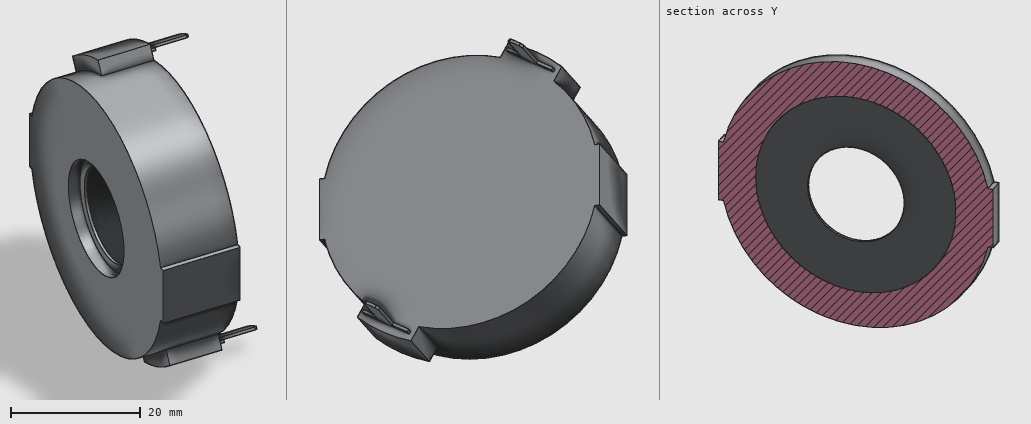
import cadquery as cq
import math

body_diameter = 45.0
body_depth = 13.35

pad_span = 45.5
pad_height = 10.1

lug_outer_radius = 25.0
lug_width = 10.05
lug_depth = 9.0
lug_root_overlap = 2.85
lug_angles = (30, 210)

counterbore_diameter = 18.95
counterbore_depth = 2.0
lip_diameter = 16.0
cone_mouth_diameter = 33.2
cone_floor_diameter = 9.05
lip_thickness = 0.47
pocket_depth = 9.25

total_depth = 21.4
terminal_radius = 23.4
terminal_thickness = 0.47
shoulder_width = 8.45
shoulder_height = 1.0
pin_width = 2.75
pin_chamfer = 0.47


def y_cylinder(diameter, start, depth):
    """Cylinder about the Y axis, running toward +Y from start."""
    return cq.Workplane("XZ", origin=(0, start, 0)).circle(diameter / 2).extrude(-depth)


def make_lug():
    """Parallel-sided lug on top of the body, with an outer face concentric with it."""
    half_width = lug_width / 2
    corner_z = math.sqrt(lug_outer_radius**2 - half_width**2)
    root_z = body_diameter / 2 - lug_root_overlap
    return (
        cq.Workplane("XZ", origin=(0, body_depth - lug_depth, 0))
        .moveTo(-half_width, root_z)
        .lineTo(-half_width, corner_z)
        .threePointArc((0, lug_outer_radius), (half_width, corner_z))
        .lineTo(half_width, root_z)
        .close()
        .extrude(-lug_depth)
    )


def make_terminal():
    """Flat T-shaped terminal: a wide shoulder carrying a pin with a chamfered tip."""
    shoulder_y = body_depth + shoulder_height
    half_shoulder = shoulder_width / 2
    half_pin = pin_width / 2
    half_tip = half_pin - pin_chamfer
    outline = [
        (-half_shoulder, body_depth),
        (-half_shoulder, shoulder_y),
        (-half_pin, shoulder_y),
        (-half_pin, total_depth - pin_chamfer),
        (-half_tip, total_depth),
        (half_tip, total_depth),
        (half_pin, total_depth - pin_chamfer),
        (half_pin, shoulder_y),
        (half_shoulder, shoulder_y),
        (half_shoulder, body_depth),
    ]
    return (
        cq.Workplane("XY", origin=(0, 0, terminal_radius))
        .polyline(outline)
        .close()
        .extrude(terminal_thickness / 2, both=True)
    )


def make_pocket():
    """Counterbore, lip and undercut conical cavity, revolved about the Y axis."""
    cone_start = counterbore_depth + lip_thickness
    profile = [
        (0, 0),
        (counterbore_diameter / 2, 0),
        (counterbore_diameter / 2, counterbore_depth),
        (lip_diameter / 2, counterbore_depth),
        (lip_diameter / 2, cone_start),
        (cone_mouth_diameter / 2, cone_start),
        (cone_floor_diameter / 2, pocket_depth),
        (0, pocket_depth),
    ]
    return cq.Workplane("XY").polyline(profile).close().revolve(360, (0, 0, 0), (0, 1, 0))


pads = cq.Workplane("XY").box(pad_span, body_depth, pad_height, centered=(True, False, True))
result = y_cylinder(body_diameter, 0, body_depth).union(pads)

for angle in lug_angles:
    lug_and_terminal = make_lug().union(make_terminal())
    result = result.union(lug_and_terminal.rotate((0, 0, 0), (0, 1, 0), -angle))

result = result.cut(make_pocket())